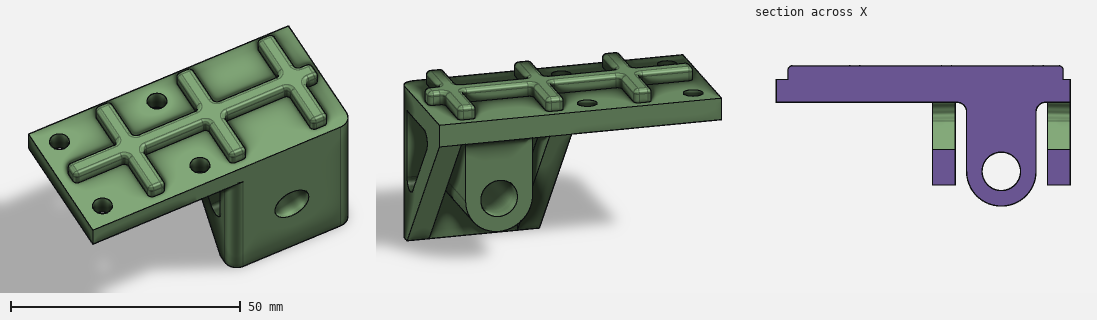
import cadquery as cq
import math

PLATE_LENGTH = 64.0
PLATE_WIDTH = 30.0
PLATE_THICKNESS = 5.0
CORNER_RADIUS = 3.0

BRACKET_SPAN = PLATE_WIDTH
BRACKET_DEPTH = PLATE_WIDTH
WALL_THICKNESS = PLATE_THICKNESS
WINDOW_RADIUS = 2.5
STRUT_THICKNESS = WALL_THICKNESS

BOSS_DIAMETER = 15.2
BORE_DIAMETER = 8.3
BORE_DROP = BRACKET_DEPTH / 2
BOSS_FILLET = 2.05

RIB_HEIGHT = 3.0
RIB_WIDTH = 4.0
RIB_ROUND = 1.0
SPINE_LENGTH = 60.0
SPINE_END_GAP = 1.5
CROSS_RIB_COUNT = 3
CROSS_RIB_LENGTH = 26.0
CROSS_RIB_PITCH = 20.0
FIRST_CROSS_RIB_GAP = 7.0

SCREW_DIAMETER = 4.3
SCREW_EDGE_GAP = PLATE_THICKNESS
SCREW_SPACING_Y = 24.0

MID_X = PLATE_WIDTH / 2
WALL_FACE_X = PLATE_WIDTH - WALL_THICKNESS
BRACKET_START_Y = PLATE_LENGTH - BRACKET_SPAN
BRACKET_MID_Y = PLATE_LENGTH - BRACKET_SPAN / 2
OVERLAP = 0.3


def make_box(x_range, y_range, z_range):
    """Box between two limits along each axis."""
    size = [high - low for low, high in (x_range, y_range, z_range)]
    corner = (x_range[0], y_range[0], z_range[0])
    return cq.Workplane("XY").box(*size, centered=False).translate(corner)


def make_side_profile(points):
    """Extrude an XZ outline across the full bracket span."""
    plane = cq.Workplane("XZ", origin=(0, PLATE_LENGTH, 0))
    return plane.polyline(points).close().extrude(BRACKET_SPAN)


def make_plate():
    plate = make_box((0, PLATE_WIDTH), (0, PLATE_LENGTH), (0, PLATE_THICKNESS))
    return plate.edges("|Z and >X and >Y").fillet(CORNER_RADIUS)


def make_bracket():
    """Back wall and two side webs, with a rounded triangular window in each web."""
    bracket = make_side_profile([
        (0, 0),
        (PLATE_WIDTH, 0),
        (PLATE_WIDTH, -BRACKET_DEPTH),
        (WALL_FACE_X, -BRACKET_DEPTH),
    ])
    bracket = bracket.edges("|Z and >X").fillet(CORNER_RADIUS)
    web_gap = make_box(
        (0, WALL_FACE_X),
        (BRACKET_START_Y + WALL_THICKNESS, PLATE_LENGTH - WALL_THICKNESS),
        (-BRACKET_DEPTH, 0),
    )
    return bracket.cut(web_gap).cut(make_window())


def make_window():
    """Opening that leaves a strut along the sloping web edge."""
    slope = BRACKET_DEPTH / WALL_FACE_X
    window_start_x = STRUT_THICKNESS * math.hypot(1, slope) / slope
    window_depth = (WALL_FACE_X - window_start_x) * slope
    window = make_side_profile([
        (window_start_x, 0),
        (WALL_FACE_X, 0),
        (WALL_FACE_X, -window_depth),
    ])
    return window.edges("|Y and (<X or <Z)").fillet(WINDOW_RADIUS)


def make_boss():
    """Round-nosed boss hanging from the plate, running from its free end to the wall."""
    radius = BOSS_DIAMETER / 2
    boss_start_x = WALL_THICKNESS
    sides = make_box(
        (boss_start_x, WALL_FACE_X),
        (BRACKET_MID_Y - radius, BRACKET_MID_Y + radius),
        (-BORE_DROP, 0),
    )
    nose = make_bore_cylinder(BOSS_DIAMETER, boss_start_x, WALL_FACE_X)
    return sides.union(nose)


def make_bore_cylinder(diameter, start_x, end_x):
    plane = cq.Workplane("YZ", origin=(start_x, BRACKET_MID_Y, -BORE_DROP))
    return plane.circle(diameter / 2).extrude(end_x - start_x)


def fillet_boss_root(body):
    """Blend the two sides and the free end of the boss into the plate underside."""
    radius = BOSS_DIAMETER / 2
    margin = 0.05
    root = cq.selectors.BoxSelector(
        (WALL_THICKNESS - margin, BRACKET_MID_Y - radius - margin, -margin),
        (WALL_FACE_X + margin, BRACKET_MID_Y + radius + margin, margin),
        boundingbox=True,
    )
    return body.edges(root).fillet(BOSS_FILLET)


def make_ribs():
    """One lengthwise spine crossed by three shorter ribs, rounded all over."""
    z_range = (PLATE_THICKNESS - OVERLAP, PLATE_THICKNESS + RIB_HEIGHT)
    spine_end_y = PLATE_LENGTH - SPINE_END_GAP
    ribs = make_box(
        (MID_X - RIB_WIDTH / 2, MID_X + RIB_WIDTH / 2),
        (spine_end_y - SPINE_LENGTH, spine_end_y),
        z_range,
    )
    for index in range(CROSS_RIB_COUNT):
        rib_y = PLATE_LENGTH - FIRST_CROSS_RIB_GAP - index * CROSS_RIB_PITCH
        ribs = ribs.union(make_box(
            (MID_X - CROSS_RIB_LENGTH / 2, MID_X + CROSS_RIB_LENGTH / 2),
            (rib_y - RIB_WIDTH / 2, rib_y + RIB_WIDTH / 2),
            z_range,
        ))
    return ribs.edges("|Z").fillet(RIB_ROUND).faces(">Z").edges().fillet(RIB_ROUND)


def make_screw_holes():
    points = [
        (x, y)
        for x in (SCREW_EDGE_GAP, PLATE_WIDTH - SCREW_EDGE_GAP)
        for y in (SCREW_EDGE_GAP, SCREW_EDGE_GAP + SCREW_SPACING_Y)
    ]
    return cq.Workplane("XY").pushPoints(points).circle(SCREW_DIAMETER / 2).extrude(PLATE_THICKNESS)


body = make_plate().union(make_bracket()).union(make_boss())
body = fillet_boss_root(body)
body = body.union(make_ribs())
body = body.cut(make_screw_holes())
result = body.cut(make_bore_cylinder(BORE_DIAMETER, 0, PLATE_WIDTH))